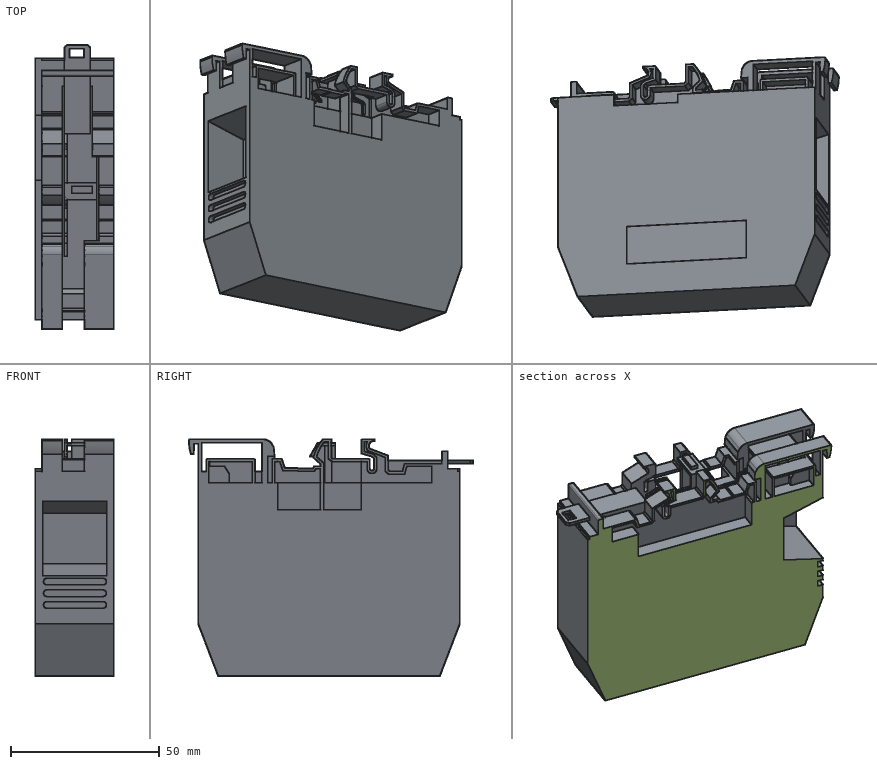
import cadquery as cq

width = 26.5
depth = 88.3
height = 80.0
floor_z = 65.3
cover = 2.2
cover_rear_z = 70.0
cover_front_z = 69.0
notch_z = 66.1
notch_front = 47.1
notch_rear = 69.1
toe_inset = 6.7
toe_height = 17.6
rear_land_front = 79.9
rear_land_rear = 87.6
front_land = 2.7

pit_front = 26.9
left_pit_rear = notch_rear
pit_z = 56.2

label_front, label_rear = 23.5, 64.7
label_bottom, label_top = 10.6, 23.6
label_recess = 0.2

window_left, window_right = 2.5, 24.2
window_bottom, window_top = 33.8, 58.9
window_depth = 14.7
window_taper = 4.0
groove_left, groove_right = 2.8, 24.0
groove_height = 2.2
groove_depth = 1.9
groove_centres = (31.9, 27.9, 24.0)

sheet = 1.0
shelf_z = 71.7
strip_z = 73.3
clip_end = 25.0
root_z = 63.4
left_band_end = 9.1
right_band_rear = 19.3
right_band_front = 21.5
right_band_step = 55.0
frame_right_start = 16.6
frame_strip_rear = 26.7
frame_lip_rear = 25.8
front_wall = 1.2
beam_z = 78.7
column_front, column_rear = 21.5, 23.5
column_lip_z = 74.2
leg_front, leg_thickness = 41.3, 1.2
leg_top = 71.4

stop_front, stop_rear = 82.3, 84.3
stop_top = 75.9
stop_rounding = 0.4
tab_left, tab_right = 9.8, 18.6
tab_front, tab_rear = 62.9, 92.8
tab_thickness = 1.1
tab_corner = 1.0
tab_slot_left, tab_slot_right = 11.6, 16.4
tab_slot_front, tab_slot_rear = 88.6, 91.5

plate_left = tab_left
plate_front = column_front
plate_foot_top = column_lip_z
bridge_front, bridge_rear = 40.6, 46.3
bridge_right = 20.7
bridge_top = beam_z
guard_overhang = 0.3
blade_left, blade_right = 12.3, 19.3
blade_front, blade_rear = 42.7, 45.0

box_front, box_rear = front_land, 19.2
box_wall = 8.1
bar_left = 6.5
bar_step = 3.9
bar_slope, bar_rear = 8.8, 10.6
bar_foot = 68.2
bar_top = 70.8
box_corner = 0.4


def block(x0, x1, y0, y1, z0, z1):
    return cq.Workplane("XY").box(x1 - x0, y1 - y0, z1 - z0, centered=False).translate((x0, y0, z0))


def extrude_x(outline, x0, x1):
    """Extrude a closed YZ outline between two X positions."""
    return outline.extrude(x1 - x0).translate((x0, 0, 0))


def polygon(points):
    return cq.Workplane("YZ").polyline(points).close()


def clip_outline():
    """Upper contour of the rail clip, closed below the floor."""
    return (
        cq.Workplane("YZ")
        .moveTo(rear_land_front, root_z)
        .lineTo(rear_land_front, shelf_z)
        .lineTo(70.2, shelf_z)
        .lineTo(69.6, 71.5)
        .lineTo(68.9, cover_front_z)
        .lineTo(64.7, cover_front_z)
        .lineTo(64.1, 69.5)
        .lineTo(64.1, 74.4)
        .lineTo(57.9, 76.8)
        .threePointArc((58.0, 78.6), (59.5, 79.3))
        .lineTo(59.5, height)
        .lineTo(55.4, height)
        .lineTo(55.1, 79.7)
        .lineTo(55.1, 75.1)
        .lineTo(58.7, 74.0)
        .lineTo(59.3, 73.3)
        .lineTo(59.3, 70.0)
        .threePointArc((58.7, 69.3), (58.0, 70.0))
        .lineTo(58.0, 73.0)
        .lineTo(57.6, strip_z)
        .lineTo(45.4, strip_z)
        .lineTo(44.8, 73.8)
        .lineTo(44.8, height)
        .lineTo(42.1, height)
        .threePointArc((40.3, 77.4), (38.9, 73.7))
        .lineTo(41.4, 71.4)
        .lineTo(41.4, 70.8)
        .lineTo(39.2, 70.8)
        .lineTo(38.7, 70.1)
        .lineTo(34.0, 70.1)
        .lineTo(33.4, 70.3)
        .lineTo(29.3, 70.3)
        .lineTo(28.2, strip_z)
        .lineTo(clip_end, strip_z)
        .lineTo(clip_end, root_z)
        .close()
    )


def frame_outline():
    """Front frame: rear column, top beam, front wall and drooping lip."""
    return (
        cq.Workplane("YZ")
        .moveTo(column_rear, root_z)
        .lineTo(column_rear, column_lip_z)
        .lineTo(frame_lip_rear, column_lip_z)
        .lineTo(25.5, 77.2)
        .lineTo(24.9, 78.4)
        .threePointArc((23.6, 79.5), (22.1, height))
        .lineTo(-3.0, height)
        .lineTo(-3.2, 79.4)
        .threePointArc((-3.0, 77.0), (-2.5, 74.9))
        .lineTo(-1.4, 74.9)
        .lineTo(-1.3, 78.3)
        .lineTo(0, 78.3)
        .lineTo(0, root_z)
        .lineTo(front_wall, root_z)
        .lineTo(front_wall, beam_z)
        .lineTo(column_front, beam_z)
        .lineTo(column_front, root_z)
        .close()
    )


def make_housing():
    core = polygon([
        (toe_inset, 0), (0, toe_height), (0, cover_front_z), (front_land, cover_front_z),
        (front_land, floor_z), (rear_land_front, floor_z), (rear_land_front, cover_rear_z),
        (rear_land_rear, cover_rear_z), (rear_land_rear, cover_front_z), (depth, cover_front_z),
        (depth, toe_height), (depth - toe_inset, 0),
    ])
    side = polygon([
        (toe_inset, 0), (0, toe_height), (0, cover_front_z), (notch_front, cover_front_z),
        (notch_front, notch_z), (notch_rear, notch_z), (notch_rear, cover_rear_z),
        (depth, cover_rear_z), (depth, toe_height), (depth - toe_inset, 0),
    ])
    label = block(0, label_recess, label_front, label_rear, label_bottom, label_top)
    left_pit = block(cover, left_band_end - sheet, pit_front, left_pit_rear, pit_z, cover_rear_z)
    right_pit = block(bridge_right, width, pit_front, right_band_step, pit_z, cover_rear_z)
    housing = extrude_x(core, cover, width).cut(left_pit).cut(right_pit)
    return housing.union(extrude_x(side, 0, cover)).cut(label)


def make_window():
    taper = polygon([
        (0, window_bottom), (window_depth, window_bottom + window_taper),
        (window_depth, window_top - window_taper), (0, window_top),
    ])
    return extrude_x(taper, window_left, window_right)


def make_groove(z):
    centre_x = (groove_left + groove_right) / 2
    return (
        cq.Workplane("XZ")
        .center(centre_x, z)
        .slot2D(groove_right - groove_left, groove_height)
        .extrude(-groove_depth)
    )


def make_clip():
    def strip(x0, x1):
        hollow = clip_outline().offset2D(-sheet, "intersection")
        open_bottom = block(x0, x1, clip_end + sheet, rear_land_front - sheet, root_z, root_z + 2 * sheet)
        bent = extrude_x(clip_outline(), x0, x1).cut(extrude_x(hollow, x0, x1))
        return bent.cut(open_bottom)

    right = strip(frame_right_start, width)
    right = right.cut(block(0, right_band_rear, right_band_step, depth, root_z, height))
    right = right.cut(block(0, right_band_front, frame_strip_rear, right_band_step, root_z, height))
    leg = block(right_band_front, width, leg_front, leg_front + leg_thickness, pit_z, leg_top)
    left_web = extrude_x(clip_outline(), left_band_end - sheet, left_band_end)
    right_web = extrude_x(clip_outline(), right_band_rear, right_band_rear + sheet)
    right_web = right_web.cut(block(0, width, 0, right_band_step, root_z, height))
    return strip(cover, left_band_end).union(left_web).union(right).union(right_web).union(leg)


def make_front_frames():
    left = extrude_x(frame_outline(), cover, left_band_end)
    return left.union(extrude_x(frame_outline(), frame_right_start, width))


def make_front_box():
    shell = block(cover, width, box_front, box_rear, root_z, strip_z)
    shell = shell.edges("|X and >Z").chamfer(box_corner)
    inside = block(cover, width, box_front + sheet, box_rear - sheet, root_z, strip_z - sheet)
    gap = block(left_band_end, frame_right_start, box_front, box_rear, root_z, strip_z)
    wall = block(box_wall, left_band_end, box_front, box_rear, root_z, strip_z - box_corner)
    bar = polygon([
        (box_front, root_z), (box_front, strip_z - box_corner), (box_front + box_corner, strip_z),
        (bar_step, strip_z), (bar_step, bar_top), (bar_slope, bar_top), (bar_rear, bar_foot),
        (bar_rear, root_z),
    ])
    halves = shell.cut(inside).cut(gap)
    return halves.union(wall).union(extrude_x(bar, bar_left, frame_right_start))


def make_stop_and_tab():
    stop = block(cover, width, stop_front, stop_rear, cover_rear_z, stop_top)
    stop = stop.edges("|X and >Z").fillet(stop_rounding)
    foot = block(cover, width, rear_land_front - sheet, stop_rear, root_z, shelf_z)
    tab = block(tab_left, tab_right, tab_front, tab_rear, shelf_z, shelf_z + tab_thickness)
    tab = tab.edges("|Z and >Y").chamfer(tab_corner)
    slot = block(tab_slot_left, tab_slot_right, tab_slot_front, tab_slot_rear, shelf_z, stop_top)
    support = block(tab_left, tab_right, tab_front, rear_land_front, root_z, shelf_z)
    return stop.union(foot).union(tab.cut(slot)).union(support)


def make_contact():
    plate_right = plate_left + sheet
    plate = extrude_x(clip_outline(), plate_left, plate_right)
    plate = plate.cut(block(plate_left, plate_right, tab_front, depth, root_z, height))
    plate = plate.cut(block(plate_left, plate_right, plate_front, bridge_rear, bridge_top, height))
    guard = polygon([
        (bridge_rear, strip_z), (bridge_rear, bridge_top), (bridge_front - guard_overhang, bridge_top),
        (37.6, 74.0), (38.9, 74.0), (41.4, strip_z),
    ])
    foot = block(plate_left, plate_right, plate_front, frame_lip_rear, root_z, plate_foot_top)
    bridge = block(plate_left, bridge_right, bridge_front, bridge_rear, bridge_top - sheet, bridge_top)
    blade = block(blade_left, blade_right, blade_front, blade_rear, root_z, height)
    contact = plate.union(extrude_x(guard, plate_left, plate_right))
    return contact.union(foot).union(bridge).union(blade)


housing = make_housing().cut(make_window())
for groove_z in groove_centres:
    housing = housing.cut(make_groove(groove_z))

result = housing
for feature in (make_clip(), make_front_frames(), make_front_box(), make_stop_and_tab(), make_contact()):
    result = result.union(feature)